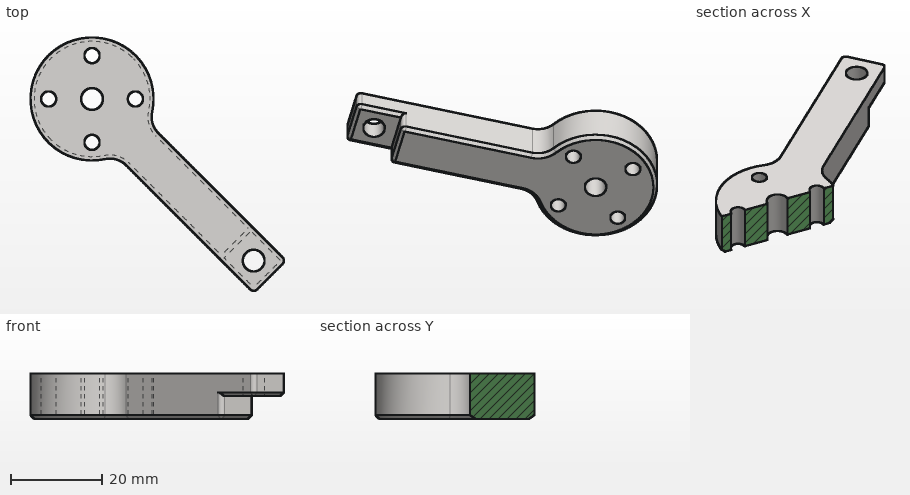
import cadquery as cq
import math

disc_radius = 13.5
arm_width = 10.0
arm_angle = -45.0
arm_hole_distance = 50.0
thickness = 10.0
tip_thickness = thickness / 2
step_length = 10.0
neck_radius = 5.0
corner_radius = 1.0
bottom_chamfer = 0.85
pivot_diameter = 4.7
bolt_hole_diameter = 3.3
bolt_circle_radius = 9.5
bolt_hole_count = 4

arm_half_width = arm_width / 2
arm_length = arm_hole_distance + arm_half_width
block_length = arm_length - step_length


def paddle(length, height):
    """Disc with an arm along +X, topped at Z = thickness and chamfered underneath."""
    neck_center_y = arm_half_width + neck_radius
    neck_angle = math.asin(neck_center_y / (disc_radius + neck_radius))
    neck_end_x = (disc_radius + neck_radius) * math.cos(neck_angle)
    disc_x = disc_radius * math.cos(neck_angle)
    disc_y = disc_radius * math.sin(neck_angle)
    mid_angle = (neck_angle + math.pi / 2) / 2
    neck_mid_x = neck_end_x - neck_radius * math.cos(mid_angle)
    neck_mid_y = neck_center_y - neck_radius * math.sin(mid_angle)

    body = (
        cq.Workplane("XY")
        .workplane(offset=thickness - height)
        .moveTo(disc_x, disc_y)
        .threePointArc((-disc_radius, 0), (disc_x, -disc_y))
        .threePointArc((neck_mid_x, -neck_mid_y), (neck_end_x, -arm_half_width))
        .lineTo(length, -arm_half_width)
        .lineTo(length, arm_half_width)
        .lineTo(neck_end_x, arm_half_width)
        .threePointArc((neck_mid_x, neck_mid_y), (disc_x, disc_y))
        .close()
        .extrude(height)
    )
    body = body.edges("|Z and >X").fillet(corner_radius)
    return body.faces("<Z").chamfer(bottom_chamfer)


body = paddle(arm_length, tip_thickness).union(paddle(block_length, thickness))

pivot_holes = (
    cq.Workplane("XY")
    .pushPoints([(0, 0), (arm_hole_distance, 0)])
    .circle(pivot_diameter / 2)
    .extrude(thickness)
)
body = body.cut(pivot_holes).rotate((0, 0, 0), (0, 0, 1), arm_angle)

bolt_holes = (
    cq.Workplane("XY")
    .polarArray(bolt_circle_radius, 0, 360, bolt_hole_count)
    .circle(bolt_hole_diameter / 2)
    .extrude(thickness)
)
result = body.cut(bolt_holes)